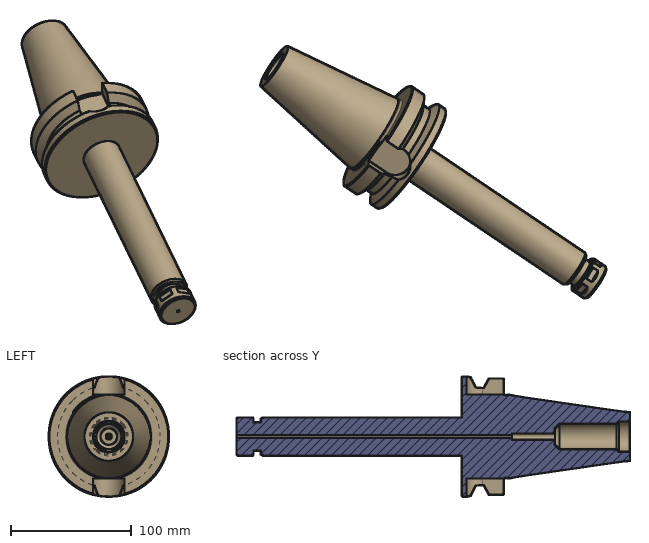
import cadquery as cq
import math

OVERALL_LENGTH = 326.8
GAUGE_X = 101.5
FLANGE_FRONT_X = 105.0
FLANGE_BACK_X = 140.0
SHAFT_END_X = 306.5
NUT_START_X = 312.5

GAUGE_DIAMETER = 70.0
TAPER_RATE = 7 / 24
RELIEF_DIAMETER = 68.5
RELIEF_FILLET = 1.5

FLANGE_DIAMETER = 100.0
FLANGE_FRONT_CHAMFER = 0.5
FLANGE_BACK_CHAMFER = 1.0
GROOVE_CENTER_X = 125.0
GROOVE_FLOOR_WIDTH = 6.5
GROOVE_DEPTH = 7.5
GROOVE_WALL_ANGLE = 30.0
SLOT_WIDTH = 25.8
SLOT_END_X = 135.5
SLOT_FLOOR_RADIUS = 35.0

SHAFT_DIAMETER = 32.0
SHAFT_CHAMFER_LENGTH = 2.0
SHAFT_CHAMFER_HEIGHT = 1.3
NECK_DIAMETER = 24.0
NUT_DIAMETER = 32.0
NUT_BACK_CHAMFER = 1.0
NUT_FRONT_CHAMFER = 1.3

POCKET_COUNT = 6
POCKET_CENTER_X = 317.5
POCKET_FLOOR_LENGTH = 5.2
POCKET_FLOOR_RADIUS = 15.0

PILOT_DIAMETER = 25.0
PILOT_DEPTH = 9.5
PILOT_CHAMFER = 0.5
THREAD_DIAMETER = 21.0
THREAD_DEPTH = 58.8
FLOOR_DIAMETER = 13.7
COOLANT_DIAMETER = 5.0
COOLANT_DEPTH = 98.0
JET_DIAMETER = 2.0


def make_body():
    """Revolve the solid outline of holder, shaft and nut around X."""
    gauge_radius = GAUGE_DIAMETER / 2
    small_end_radius = gauge_radius - GAUGE_X * TAPER_RATE / 2
    relief_radius = RELIEF_DIAMETER / 2
    flange_radius = FLANGE_DIAMETER / 2
    shaft_radius = SHAFT_DIAMETER / 2
    neck_radius = NECK_DIAMETER / 2
    nut_radius = NUT_DIAMETER / 2
    fillet_center = (FLANGE_FRONT_X - RELIEF_FILLET, relief_radius + RELIEF_FILLET)
    fillet_offset = RELIEF_FILLET * math.sqrt(0.5)

    outline = (
        cq.Workplane("XY")
        .lineTo(0, small_end_radius)
        .lineTo(GAUGE_X, gauge_radius)
        .lineTo(GAUGE_X, relief_radius)
        .lineTo(fillet_center[0], relief_radius)
        .threePointArc(
            (fillet_center[0] + fillet_offset, fillet_center[1] - fillet_offset),
            (FLANGE_FRONT_X, fillet_center[1]),
        )
        .lineTo(FLANGE_FRONT_X, flange_radius - FLANGE_FRONT_CHAMFER)
        .lineTo(FLANGE_FRONT_X + FLANGE_FRONT_CHAMFER, flange_radius)
        .lineTo(FLANGE_BACK_X - FLANGE_BACK_CHAMFER, flange_radius)
        .lineTo(FLANGE_BACK_X, flange_radius - FLANGE_BACK_CHAMFER)
        .lineTo(FLANGE_BACK_X, shaft_radius)
        .lineTo(SHAFT_END_X - SHAFT_CHAMFER_LENGTH, shaft_radius)
        .lineTo(SHAFT_END_X, shaft_radius - SHAFT_CHAMFER_HEIGHT)
        .lineTo(SHAFT_END_X, neck_radius)
        .lineTo(NUT_START_X, neck_radius)
        .lineTo(NUT_START_X, nut_radius - NUT_BACK_CHAMFER)
        .lineTo(NUT_START_X + NUT_BACK_CHAMFER, nut_radius)
        .lineTo(OVERALL_LENGTH - NUT_FRONT_CHAMFER, nut_radius)
        .lineTo(OVERALL_LENGTH, nut_radius - NUT_FRONT_CHAMFER)
        .lineTo(OVERALL_LENGTH, 0)
        .close()
    )
    return outline.revolve(360, (0, 0, 0), (1, 0, 0))


def make_flange_groove():
    """Ring that cuts the V groove into the flange rim."""
    rim_radius = FLANGE_DIAMETER / 2
    floor_radius = rim_radius - GROOVE_DEPTH
    half_floor = GROOVE_FLOOR_WIDTH / 2
    half_rim = half_floor + GROOVE_DEPTH * math.tan(math.radians(GROOVE_WALL_ANGLE))
    return (
        cq.Workplane("XY")
        .polyline([
            (GROOVE_CENTER_X - half_rim, rim_radius),
            (GROOVE_CENTER_X - half_floor, floor_radius),
            (GROOVE_CENTER_X + half_floor, floor_radius),
            (GROOVE_CENTER_X + half_rim, rim_radius),
        ])
        .close()
        .revolve(360, (0, 0, 0), (1, 0, 0))
    )


def make_drive_slots():
    """Two opposite round-ended slots, open toward the taper."""
    half_width = SLOT_WIDTH / 2
    arc_center_x = SLOT_END_X - half_width
    upper_slot = (
        cq.Workplane("XY")
        .workplane(offset=SLOT_FLOOR_RADIUS)
        .moveTo(GAUGE_X, -half_width)
        .lineTo(arc_center_x, -half_width)
        .threePointArc((SLOT_END_X, 0), (arc_center_x, half_width))
        .lineTo(GAUGE_X, half_width)
        .close()
        .extrude(FLANGE_DIAMETER / 2)
    )
    return upper_slot.union(upper_slot.mirror("XY"))


def make_nut_pockets():
    """Ring of flat wrench pockets with 45 degree end walls."""
    half_floor = POCKET_FLOOR_LENGTH / 2
    nut_radius = NUT_DIAMETER / 2
    wall_height = nut_radius - POCKET_FLOOR_RADIUS
    half_rim = half_floor + wall_height
    pocket = (
        cq.Workplane("XY")
        .polyline([
            (POCKET_CENTER_X - half_rim, nut_radius),
            (POCKET_CENTER_X - half_floor, POCKET_FLOOR_RADIUS),
            (POCKET_CENTER_X + half_floor, POCKET_FLOOR_RADIUS),
            (POCKET_CENTER_X + half_rim, nut_radius),
        ])
        .close()
        .extrude(nut_radius, both=True)
    )
    pockets = cq.Workplane("XY")
    for index in range(POCKET_COUNT):
        angle = index * 360 / POCKET_COUNT
        pockets = pockets.add(pocket.rotate((0, 0, 0), (1, 0, 0), angle))
    return pockets.combine()


def make_drawbar_bore():
    """Pilot, thread core with conical end, and coolant hole along the axis."""
    pilot_radius = PILOT_DIAMETER / 2
    thread_radius = THREAD_DIAMETER / 2
    floor_radius = FLOOR_DIAMETER / 2
    coolant_radius = COOLANT_DIAMETER / 2
    jet_radius = JET_DIAMETER / 2
    floor_x = THREAD_DEPTH + thread_radius - floor_radius
    return (
        cq.Workplane("XY")
        .polyline([
            (0, 0),
            (0, pilot_radius + PILOT_CHAMFER),
            (PILOT_CHAMFER, pilot_radius),
            (PILOT_DEPTH, pilot_radius),
            (PILOT_DEPTH + pilot_radius - thread_radius, thread_radius),
            (THREAD_DEPTH, thread_radius),
            (floor_x, floor_radius),
            (floor_x, coolant_radius),
            (COOLANT_DEPTH, coolant_radius),
            (COOLANT_DEPTH, jet_radius),
            (OVERALL_LENGTH, jet_radius),
            (OVERALL_LENGTH, 0),
        ])
        .close()
        .revolve(360, (0, 0, 0), (1, 0, 0))
    )


result = (
    make_body()
    .cut(make_flange_groove())
    .cut(make_drive_slots())
    .cut(make_nut_pockets())
    .cut(make_drawbar_bore())
)